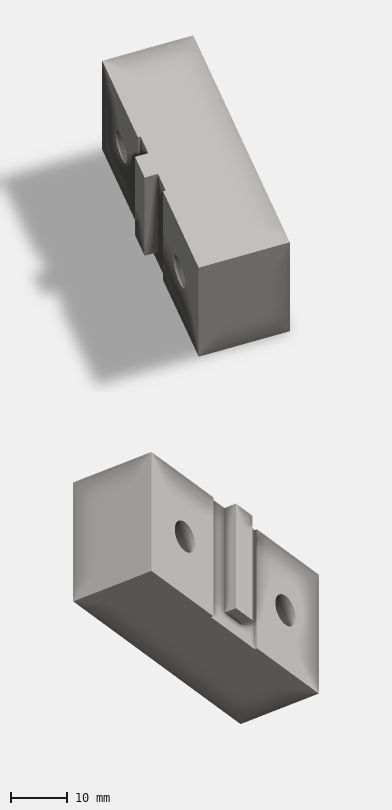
import cadquery as cq

length = 49.9
height = 24.75
overall_depth = 19.0

rib_projection = 2.0
rib_width = 5.0
rib_bottom_gap = 3.0

groove_width = 13.0
groove_depth = 0.5

hole_diameter = 6.0
hole_spacing = 30.0
hole_height = 12.25

block_depth = overall_depth - rib_projection
rib_height = height - rib_bottom_gap
rib_depth = rib_projection + groove_depth


def front_box(width, depth, tall, front_y):
    """Box centred on X, running back from front_y and standing on Z = 0."""
    return (
        cq.Workplane("XY")
        .box(width, depth, tall, centered=(True, False, False))
        .translate((0, front_y, 0))
    )


block = front_box(length, block_depth, height, 0)

groove = front_box(groove_width, groove_depth, height, 0)

rib = front_box(rib_width, rib_depth, rib_height, -rib_projection).translate((0, 0, rib_bottom_gap))

holes = (
    cq.Workplane("XZ", origin=(0, 0, hole_height))
    .rarray(hole_spacing, 0.5, 2, 1)
    .circle(hole_diameter / 2)
    .extrude(-block_depth)
)

result = block.cut(groove).cut(holes).union(rib)